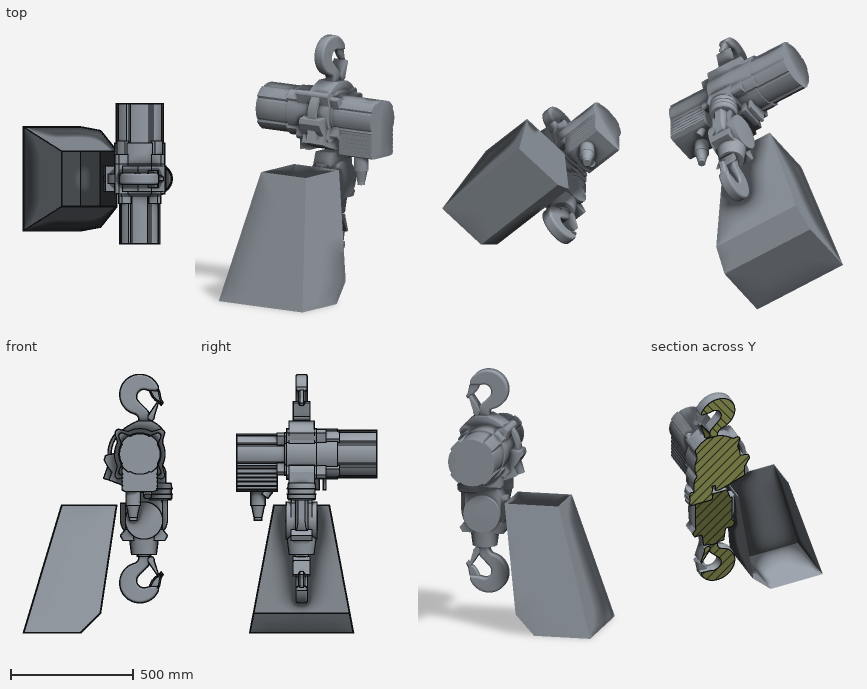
import cadquery as cq
import math


load_x = 17.0
housing_top = 135.6
block_bottom = -419.0
front_end = -265.5
rear_end = 307.5
core_half = 52.0
plate_front = -61.5
plate_rear = 60.5


def outline_at(y):
    """Sketch in an XZ plane at the given Y; it extrudes toward -Y."""
    return cq.Workplane("XZ", origin=(0, y, 0))


def prism(points, y_start, y_end):
    """Closed XZ outline extruded between two Y positions."""
    return outline_at(y_end).polyline(points).close().extrude(y_end - y_start)


def disc(radius, y_start, y_end):
    """Cylinder around the Y axis."""
    return outline_at(y_end).circle(radius).extrude(y_end - y_start)


def turned(half_outline, axis):
    """Half outline, drawn as radius and height, turned around the Z axis or the Y axis."""
    plane = "XZ" if axis == "Z" else "XY"
    return cq.Workplane(plane).polyline(half_outline).close().revolve(360, (0, 0, 0), (0, 1, 0))


front_radius = 82.8
rear_radius = 97.5
rear_scale = rear_radius / front_radius


def motor(scale, y_start, y_end):
    """Round motor with a raised rib on every diagonal, set off by small grooves."""
    arc_end = (32 * scale, 76.4 * scale)
    groove = (38 * scale, 71.5 * scale)
    rib = (46 * scale, 74.5 * scale)
    rib_middle = math.hypot(*rib) / math.sqrt(2)
    sketch = outline_at(y_end).moveTo(-arc_end[0], arc_end[1])
    for quarter in range(4):
        angle = math.radians(90 * quarter)

        def turn(x, z):
            return x * math.cos(angle) + z * math.sin(angle), z * math.cos(angle) - x * math.sin(angle)

        sketch = (
            sketch.threePointArc(turn(0, front_radius * scale), turn(*arc_end))
            .lineTo(*turn(*groove)).lineTo(*turn(*rib))
            .threePointArc(turn(rib_middle, rib_middle), turn(*rib[::-1]))
            .lineTo(*turn(*groove[::-1])).lineTo(*turn(*arc_end[::-1]))
        )
    return sketch.close().extrude(y_end - y_start)


drum_radius = 102.8
drum_end = 146.5
drum_lobe_root, drum_lobe_tip, drum_lobe_middle = (47.5, 91.2), (86.0, 101.0), 96.0
drum_lobe_end = 100.0
plate_radius = 103.8
plate_lobe_root, plate_lobe_tip, plate_lobe_middle = (48.0, 92.0), (86.0, 102.0), 97.0
rear_flange_root, rear_flange_tip, rear_flange_middle = (47.0, 87.0), (61.5, 93.5), 80.0
rear_flange_end = 155.0
front_flange_root, front_flange_tip, front_flange_middle = (37.0, 74.0), (73.0, 86.5), 82.0
front_flange_end = -101.0
spacer_radius = 86.5
spacer_lobe_root, spacer_lobe_tip, spacer_lobe_middle = (44.0, 75.5), (74.0, 87.5), 83.0
spacer_end = -71.0


def corner_lobes(root, tip, middle, y_start, y_end):
    """Four equal rounded lobes on the diagonals; `middle` is the X and Z reach of the rounded tip."""
    lobes = cq.Workplane("XZ")
    for sx in (-1, 1):
        for sz in (-1, 1):
            lobe = (
                outline_at(y_end).moveTo(0, 0).lineTo(sx * root[0], sz * root[1])
                .lineTo(sx * tip[0], sz * tip[1])
                .threePointArc((sx * middle, sz * middle), (sx * tip[1], sz * tip[0]))
                .lineTo(sx * root[1], sz * root[0]).close().extrude(y_end - y_start)
            )
            lobes = lobes.union(lobe)
    return lobes


def plates_and_flanges():
    body = disc(plate_radius, plate_front, plate_rear)
    body = body.union(corner_lobes(plate_lobe_root, plate_lobe_tip, plate_lobe_middle,
                                   plate_front, plate_rear))
    body = body.union(disc(drum_radius, plate_rear, drum_end))
    body = body.union(corner_lobes(drum_lobe_root, drum_lobe_tip, drum_lobe_middle,
                                   plate_rear, drum_lobe_end))
    body = body.union(corner_lobes(rear_flange_root, rear_flange_tip, rear_flange_middle,
                                   drum_lobe_end, rear_flange_end))
    body = body.union(disc(spacer_radius, spacer_end, plate_front))
    body = body.union(corner_lobes(spacer_lobe_root, spacer_lobe_tip, spacer_lobe_middle,
                                   spacer_end, plate_front))
    return body.union(corner_lobes(front_flange_root, front_flange_tip, front_flange_middle,
                                   front_flange_end, spacer_end))


core_bottom = -147.0
bell_top = -119.0
slot_half = 19.5
band_outer, band_inner = 131.0, 117.0
spout_half, spout_root_half = 9.0, 26.0


def central_housing():
    """Casting between the side plates: hook seat at the top, chain guide at the lower left."""
    outline = (
        outline_at(core_half).moveTo(-8, housing_top).lineTo(47, housing_top)
        .threePointArc((83, 112), (103, 87)).lineTo(94, 60).lineTo(94, -46).lineTo(103, -60)
        .lineTo(107, -74).lineTo(107, bell_top).lineTo(10, bell_top).lineTo(10, core_bottom)
        .lineTo(-12, core_bottom).lineTo(-76, -126).lineTo(-126, -107).lineTo(-114, -74)
        .lineTo(-132, -51).lineTo(-146, -25).lineTo(-140.6, -5.6).lineTo(-102, 3).lineTo(-90, 60)
        .lineTo(-72, 98).threePointArc((-42, 119), (-8, housing_top)).close()
    )
    return outline.extrude(2 * core_half)


def chain_spout():
    """Nose of the chain guide, narrowing outward."""
    side = prism([(-132, -51), (-114, -74), (-100, -74), (-100, -116), (-126, -107), (-149, -100)],
                 -spout_root_half, spout_root_half)
    plan = cq.Workplane("XY", origin=(0, 0, -120)).polyline(
        [(-150, -spout_half), (-112, -spout_root_half), (-100, -spout_root_half),
         (-100, spout_root_half), (-112, spout_root_half), (-150, spout_half)])
    return side.intersect(plan.close().extrude(80))


def guard_band():
    """Curved band that runs from the chain guide up to the top left lobe."""
    ring = disc(band_outer, -slot_half, slot_half).cut(disc(band_inner, -slot_half, slot_half))
    sector = prism([(0, -10), (-150, -10), (-150, 127), (0, 0)], -slot_half, slot_half)
    return ring.intersect(sector)


def rear_feet():
    """Two upright plates below the drum."""
    outline = [(-73, core_bottom), (20, core_bottom), (20, -60), (-73, -60)]
    feet = prism(outline, core_half, 73)
    return feet.union(prism(outline, 88, drum_lobe_end))


bell_x = 74.0
bell_bottom = -188.0
bell_radius = 55.5
bell_rim_radius = 59.4
bell_rims = (-142.0, -165.0)
rim_height = 2.5


def chain_bell():
    half = [(0, bell_top), (54, bell_top), (56, -127), (57.5, bell_rims[0]), (bell_radius, bell_rims[0]),
            (bell_radius, bell_rims[1]), (57.5, bell_rims[1]), (57, -182),
            (53, bell_bottom), (0, bell_bottom)]
    bell = turned(half, "Z")
    for level in bell_rims:
        rim = cq.Workplane("XY", origin=(0, 0, level - rim_height / 2)).circle(bell_rim_radius)
        bell = bell.union(rim.extrude(rim_height))
    return bell.translate((bell_x, 0, 0))


housing = (
    plates_and_flanges()
    .union(motor(1.0, front_end, plate_front))
    .union(motor(rear_scale, drum_end, rear_end))
    .union(central_housing()).union(chain_spout()).union(guard_band()).union(rear_feet())
    .union(chain_bell())
)

box_half = 73.0
box_top = -45.0
box_bottom = -154.0
box_rear = -99.0
box_groove_depth = 3.0
box_groove_height = 4.0
box_groove_levels = (-60.0, -80.0, -97.0, -113.0, -130.0, -145.0)
gland_x, gland_y = -27.5, -178.5
gland_radius = 30.0
gland_tip_radius = 31.0 / 2


def control_box():
    """Box that hugs the front motor from below, with grooved sides."""
    box = prism([(-box_half, box_top), (-box_half, -148), (-60, box_bottom), (55, box_bottom),
                 (box_half, -148), (box_half, box_top)], front_end, box_rear)
    length = box_rear - front_end
    for level in box_groove_levels:
        for side in (-1, 1):
            groove = cq.Workplane("XY").box(2 * box_groove_depth, length, box_groove_height)
            box = box.cut(groove.translate((side * box_half, front_end + length / 2, level)))
    return box


def cable_gland():
    root = box_bottom + 5
    half = [(0, root), (gland_radius, root), (gland_radius, -211), (27, -211), (17, -259),
            (gland_tip_radius, -259), (gland_tip_radius, -272), (0, -272)]
    return turned(half, "Z").translate((gland_x, gland_y, 0))


def tilted_plug():
    plane = cq.Plane(origin=(32, -131, -148), xDir=(1, 0, 0), normal=(0, -0.62, -0.78))
    return cq.Workplane(plane).circle(16).extrude(32)


control = control_box().union(cable_gland()).union(tilted_plug()).cut(housing)

wheel_z = -272.0
wheel_radius = 153.0 / 2
wheel_half, wheel_rim_half = 65.0, 63.0
frame_half = 42.5
frame_reach = 75.0
strap_reach = 97.0
strap_half, strap_root_half = 14.0, 26.0
cup_bottom = -412.0


def block_frame():
    return prism([(-60, -156), (60, -156), (frame_reach, -201), (frame_reach, wheel_z), (60, -330),
                  (-60, -330), (-frame_reach, wheel_z), (-frame_reach, -201)], -frame_half, frame_half)


def block_straps():
    """Strap around the frame, bevelled toward its outer face."""
    bend = wheel_z + 8
    side = (
        outline_at(frame_half).moveTo(-strap_reach, -201).lineTo(0, -201).lineTo(0, bell_bottom)
        .lineTo(strap_reach, bell_bottom).lineTo(strap_reach, bend)
        .threePointArc((93, -291), (81, -314)).lineTo(-81, -314)
        .threePointArc((-93, -291), (-strap_reach, bend)).close().extrude(2 * frame_half)
    )
    plan = cq.Workplane("XY", origin=(0, 0, -320)).polyline(
        [(-strap_reach, -strap_half), (-frame_reach, -strap_root_half), (frame_reach, -strap_root_half),
         (strap_reach, -strap_half), (strap_reach, strap_half), (frame_reach, strap_root_half),
         (-frame_reach, strap_root_half), (-strap_reach, strap_half)])
    return side.intersect(plan.close().extrude(160))


def block_wings():
    return prism([(-72, -308), (-76, -308), (-strap_reach, -334), (-86, -354), (86, -354),
                  (strap_reach, -334), (76, -308)], -frame_half, frame_half)


def block_wheel():
    half = [(0, -wheel_half), (wheel_radius, -wheel_rim_half), (wheel_radius, wheel_rim_half),
            (0, wheel_half)]
    return turned(half, "Y").translate((0, 0, wheel_z))


def block_cup():
    half = [(0, -336), (61, -336), (51, cup_bottom), (28, cup_bottom), (28, block_bottom),
            (0, block_bottom)]
    return turned(half, "Z")


block = block_frame().union(block_straps()).union(block_wings()).union(block_cup()).union(block_wheel())
block = block.translate((load_x, 0, 0)).cut(housing)

neck_radius = 43.6 / 2
eye_radius = 59.0 / 2
eye_height = 98.8
hook_half = 23.6
hook_round = 10.0
tip_half = 13.0
tip_bevel = 6.0
latch_half = 34.4
bow_center = (-17.0, 107.87)
bow_radius = 83.0
neck_extra = 30.0

bend_radius = 22.0
bend_x = -neck_radius - bend_radius
bend_height = bow_center[1] - math.sqrt((bow_radius + bend_radius) ** 2 - (bend_x - bow_center[0]) ** 2)
bend_angle = math.degrees(math.atan2(bend_height - bow_center[1], bend_x - bow_center[0]))

throat_x = 14.0
throat = (throat_x, eye_height - eye_radius * math.sqrt(2) - throat_x)
throat_drop = (neck_radius - throat_x) / math.tan(math.radians(22.5))


def bow_point(degrees):
    a = math.radians(degrees)
    return bow_center[0] + bow_radius * math.cos(a), bow_center[1] + bow_radius * math.sin(a)


def eye_point(degrees):
    a = math.radians(degrees)
    return eye_radius * math.cos(a), eye_height + eye_radius * math.sin(a)


def hook_shape():
    """Hook standing on its neck at Z = 0, open toward +X."""
    root = bow_point(bend_angle)
    outline = (
        outline_at(hook_half).moveTo(-neck_radius, -neck_extra).lineTo(-neck_radius, bend_height)
        .tangentArcPoint(root, relative=False).threePointArc(bow_point(150), bow_point(22))
        .lineTo(61, 122).lineTo(*eye_point(62)).threePointArc(eye_point(150), eye_point(225))
        .lineTo(*throat).tangentArcPoint((neck_radius, throat[1] - throat_drop), relative=False)
        .lineTo(neck_radius, -neck_extra).close()
    )
    bow = outline.extrude(2 * hook_half).faces("<Y or >Y").edges().fillet(hook_round)
    below_seat = cq.Workplane("XY", origin=(0, 0, -neck_extra)).rect(200, 200).extrude(neck_extra)
    tip = prism([(18, 130), (56, 136), (65, 119), (70, 91), (79, 74), (70, 62), (58, 77),
                 (45, 84), (31, 101)], -tip_half, tip_half)
    tip = tip.faces("<Y or >Y").edges().chamfer(tip_bevel)
    return bow.cut(below_seat).union(tip)


def latch_shape():
    """Safety latch that straddles the neck and closes the hook mouth."""
    arm = (
        outline_at(latch_half).moveTo(16, 21).lineTo(56, 80).lineTo(60, 74)
        .lineTo(42, 17.5).threePointArc((28, 1), (16, 12)).close().extrude(2 * latch_half)
    )
    return arm.cut(hook_shape())


def on_top(shape):
    return shape.translate((load_x, 0, housing_top))


def at_bottom(shape):
    """Upside-down copy below the hook block."""
    return shape.mirror("XY").translate((load_x, 0, block_bottom))


places = (on_top, at_bottom)
hooks = [place(hook_shape()) for place in places]
latches = [place(latch_shape()) for place in places]

bin_top, bin_knee, bin_bottom = -209.0, -652.0, -733.4
bin_top_half, bin_bottom_half = 114.5, 213.5
bin_wall = 3.0


def chain_bin():
    """Open-topped bin that widens downward."""
    side = prism([(-477.7, bin_bottom), (-321, bin_top), (-93.4, bin_top), (-160, bin_knee),
                  (-242, bin_bottom)], -bin_bottom_half, bin_bottom_half)
    ends = [(-bin_bottom_half, bin_bottom), (-bin_top_half, bin_top), (bin_top_half, bin_top),
            (bin_bottom_half, bin_bottom)]
    cross = cq.Workplane("YZ", origin=(-600, 0, 0)).polyline(ends).close().extrude(600)
    return side.intersect(cross).faces(">Z").shell(-bin_wall)


bin_body = chain_bin()

result = cq.Compound.makeCompound([
    housing.val(),
    control.val(),
    block.val(),
    *[hook.val() for hook in hooks],
    *[latch.val() for latch in latches],
    bin_body.val(),
])